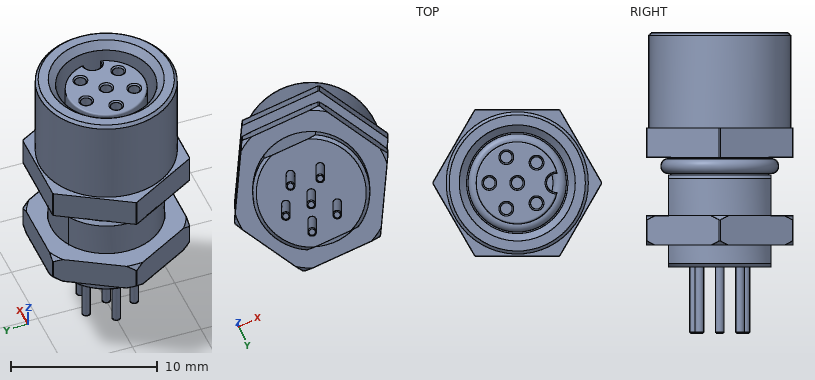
import cadquery as cq
import math

total_height = 20.5
thread_bottom = 4.5
thread_top = 10.8
nut_bottom = 6.0
flange_bottom = 12.0
hex_height = 2.0
flange_top = flange_bottom + hex_height

hex_across_flats = 10.0
hex_across_corners = 11.5
nut_chamfer = 0.29

thread_diameter = 8.0
thread_across_flats = 7.0
thread_chamfer = 0.25
neck_diameter = 6.7
outer_seal_diameter = 8.04
outer_seal_section = 1.02
outer_seal_height = (thread_top + flange_bottom) / 2

shell_diameter = 9.7
shell_chamfer = 0.2
mouth_diameter = 7.91
bore_diameter = 6.9
mouth_depth = 0.5
bore_floor = flange_top
inner_seal_diameter = 6.7
inner_seal_section = 0.92

carrier_diameter = 5.6
carrier_recess = 0.8
carrier_rounding = 0.12
carrier_top = total_height - carrier_recess
key_diameter = 1.3
key_offset = 2.65
key_chamfer = 0.1

contact_circle_radius = 1.9
contact_angles = (46.5, 113, 180, 247, 313.5)
socket_diameter = 0.8
socket_chamfer = 0.1
socket_depth = 4.1
pin_diameter = 0.6
pin_chamfer = 0.08


def cylinder(diameter, bottom, top):
    """Upright cylinder on the connector axis."""
    return cq.Workplane("XY").workplane(offset=bottom).circle(diameter / 2).extrude(top - bottom)


def cone(bottom_diameter, top_diameter, bottom, top):
    """Upright truncated cone on the connector axis."""
    base = cq.Vector(0, 0, bottom)
    axis = cq.Vector(0, 0, 1)
    return cq.Workplane(cq.Solid.makeCone(bottom_diameter / 2, top_diameter / 2, top - bottom, base, axis))


def flared_hole(diameter, chamfer, bottom, top):
    """Cutter for a round hole with a chamfered upper edge."""
    flare = cone(diameter, diameter + 2 * chamfer, top - chamfer, top)
    return cylinder(diameter, bottom, top).union(flare)


def seal_ring(outer_diameter, section, height):
    """Round-section ring around the connector axis, with its seam on the inner side."""
    ring_radius = (outer_diameter - section) / 2
    section_plane = cq.Workplane("XZ").center(ring_radius, height).transformed(rotate=(0, 0, 180))
    axis_start = (ring_radius, 0, 0)
    axis_end = (ring_radius, 1, 0)
    return section_plane.circle(section / 2).revolve(360, axis_start, axis_end)


def hex_plate(bottom):
    """Hexagon with flats facing +Y and -Y, its sharp corners turned down to a circle."""
    sharp_corners = hex_across_flats / math.cos(math.pi / 6)
    plate = cq.Workplane("XY").workplane(offset=bottom).polygon(6, sharp_corners).extrude(hex_height)
    return plate.intersect(cylinder(hex_across_corners, bottom, bottom + hex_height))


def lock_nut():
    """Hexagon nut with its corners chamfered above and below."""
    nut_top = nut_bottom + hex_height
    envelope = cylinder(hex_across_corners, nut_bottom, nut_top).edges().chamfer(nut_chamfer)
    thread_hole = cylinder(thread_diameter, nut_bottom, nut_top)
    return hex_plate(nut_bottom).intersect(envelope).cut(thread_hole)


def barrel():
    """Threaded barrel, chamfered at both ends and cut flat on its +Y and -Y sides."""
    thread = cylinder(thread_diameter, thread_bottom, thread_top).edges().chamfer(thread_chamfer)
    flats = cq.Workplane("XY").box(thread_diameter, thread_across_flats, 2 * total_height)
    return thread.intersect(flats)


def shell():
    """Round socket shell, bored from the top down to the flange, with a conical mouth."""
    body = cylinder(shell_diameter, flange_top, total_height).faces(">Z").edges().chamfer(shell_chamfer)
    body = body.cut(cylinder(bore_diameter, bore_floor, total_height))
    return body.cut(cone(bore_diameter, mouth_diameter, total_height - mouth_depth, total_height))


def carrier():
    """Contact carrier with a rounded rim and its keyway."""
    body = cylinder(carrier_diameter, bore_floor, carrier_top).faces(">Z").edges().fillet(carrier_rounding)
    keyway = flared_hole(key_diameter, key_chamfer, bore_floor, carrier_top)
    return body.cut(keyway.translate((key_offset, 0, 0)))


def inner_seal():
    """Upper half of the seal ring that rests in the floor of the bore."""
    ring = seal_ring(inner_seal_diameter, inner_seal_section, bore_floor)
    return ring.intersect(cylinder(bore_diameter, bore_floor, carrier_top))


neck = cylinder(neck_diameter, thread_top, flange_bottom)
outer_seal = seal_ring(outer_seal_diameter, outer_seal_section, outer_seal_height)

result = barrel().union(lock_nut()).union(neck).union(outer_seal)
result = result.union(hex_plate(flange_bottom)).union(shell())
result = result.union(carrier()).union(inner_seal())

socket = flared_hole(socket_diameter, socket_chamfer, carrier_top - socket_depth, carrier_top)
pin = cylinder(pin_diameter, 0, thread_bottom).faces("<Z").edges().chamfer(pin_chamfer)
contact_places = [(0, 0, 0)]
for angle in contact_angles:
    x = contact_circle_radius * math.cos(math.radians(angle))
    y = contact_circle_radius * math.sin(math.radians(angle))
    contact_places.append((x, y, 0))
for place in contact_places:
    result = result.cut(socket.translate(place)).union(pin.translate(place))